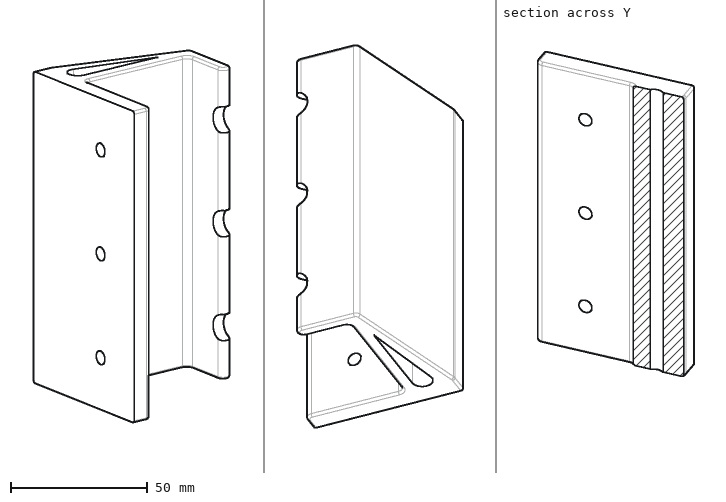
import cadquery as cq
import math

length = 120.0
base_width = 60.0
total_depth = 61.0

base_thickness = 8.0
flange_thickness = 4.9
flange_reach = 40.1
wall_inner_x = 19.9
wall_thickness = 4.9
wall_outer_x = wall_inner_x - wall_thickness

corner_radius = 2.5
peak_radius = 2.0
knee_radius = 3.6
tip_radius = flange_thickness / 2
end_edge_radius = 1.0

teardrop_radius = 4.0
teardrop_tip_y = 46.0

hole_diameter = 5.2
hole_x = base_width * 2 / 3
access_diameter = 10.1
hole_spacing = length / 3


def make_profile():
    """Clamp-shaped section with a full-round flange tip and rounded corners, extruded along Z."""
    flange_inner_y = total_depth - flange_thickness
    knee = (0, base_thickness)
    peak = (wall_outer_x, total_depth)
    inner_corners = [(wall_inner_x, base_thickness), (wall_inner_x, flange_inner_y)]
    tip_center_x = flange_reach - tip_radius
    base_corner = (base_width, base_thickness)
    body = (
        cq.Workplane("XY")
        .polyline([(0, 0), (base_width, 0), base_corner, *inner_corners, (tip_center_x, flange_inner_y)])
        .threePointArc((flange_reach, flange_inner_y + tip_radius), (tip_center_x, total_depth))
        .lineTo(*peak)
        .lineTo(*knee)
        .close()
        .extrude(length)
    )
    body = round_corners(body, [base_corner, *inner_corners], corner_radius)
    body = round_corners(body, [peak], peak_radius)
    return round_corners(body, [knee], knee_radius)


def round_corners(body, corners, radius):
    """Fillet the vertical edges standing at the given section points."""
    for x, y in corners:
        edge = cq.selectors.NearestToPointSelector((x, y, length / 2))
        body = body.edges("|Z").edges(edge).fillet(radius)
    return body


def round_end_edges(body):
    """Round the outline of both end faces, leaving the mounting face edges sharp."""
    margin = 1.2
    end_edges = body.faces("<Z or >Z").edges()
    return end_edges.edges(cq.selectors.BoxSelector(
        (-margin, end_edge_radius, -margin),
        (base_width + margin, total_depth + margin, length + margin),
    )).fillet(end_edge_radius)


def make_teardrop():
    """Teardrop prism: two lines from the tip, tangent to a round end on the base plane."""
    center_x = wall_outer_x - teardrop_radius
    center_y = base_thickness + teardrop_radius
    tip_angle = 2 * math.atan2(teardrop_radius, teardrop_tip_y - center_y)
    left_tangent = (
        center_x - teardrop_radius * math.cos(tip_angle),
        center_y + teardrop_radius * math.sin(tip_angle),
    )
    return (
        cq.Workplane("XY")
        .moveTo(wall_outer_x, teardrop_tip_y)
        .lineTo(*left_tangent)
        .threePointArc((center_x, center_y - teardrop_radius), (wall_outer_x, center_y))
        .close()
        .extrude(length)
    )


def make_hole_row(diameter, start_y, end_y):
    """Row of cylinders along Y between two depths, centred along the length."""
    centers = [(hole_x, length / 2 + step * hole_spacing) for step in (-1, 0, 1)]
    return (
        cq.Workplane("XZ", origin=(0, start_y, 0))
        .pushPoints(centers)
        .circle(diameter / 2)
        .extrude(start_y - end_y)
    )


screw_holes = make_hole_row(hole_diameter, 0, base_thickness)
access_notches = make_hole_row(access_diameter, base_thickness, total_depth)

body = round_end_edges(make_profile())
result = body.cut(make_teardrop()).cut(screw_holes).cut(access_notches)